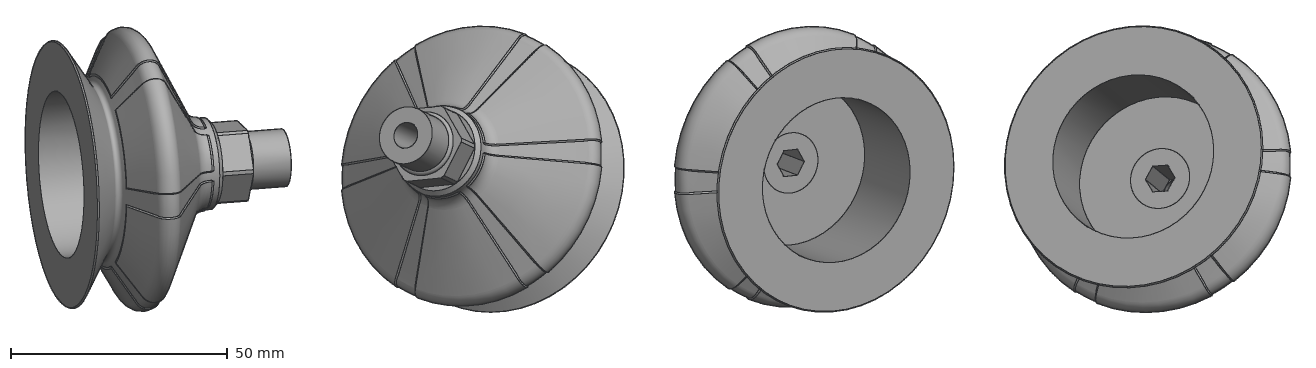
import cadquery as cq
import math


BULGE_OUTER_RADIUS = 32.85
BULGE_RADIUS = 3.2
BULGE_Y = 17.1
UPPER_SLOPE = math.radians(28.3)
LOWER_SLOPE = math.radians(30.0)
NECK_FILLET = 3.75
COLLAR_RADIUS = 10.65
COLLAR_TOP = 36.0
COLLAR_CHAMFER = 1.05
GROOVE_RADIUS = 20.7
GROOVE_FILLET = 1.05
LIP_RADIUS = 31.0
LIP_EDGE_HEIGHT = 0.4
LIP_EDGE_TAPER = 0.25
BORE_RADIUS = 19.3
BORE_DEPTH = 22.15

PANEL_COUNT = 6
PANEL_RISE = 0.25
PANEL_PITCH = 360.0 / PANEL_COUNT
GAP_HALF_ANGLE = 4.7
PANEL_BOTTOM = 9.3
PANEL_TOP_TAPER = 0.5
PANEL_EDGE_WIDTH = 0.4
PANEL_EDGE_DEPTH = 0.3

INSERT_RADIUS = 7.1
SOCKET_ACROSS_FLATS = 6.1
HEX_ACROSS_FLATS = 16.95
HEX_CORNER_RADIUS = 9.5
HEX_TOP = 43.35
STUD_RADIUS = 6.7
STUD_TOP = 53.2
AIR_HOLE_RADIUS = 3.0
RING_RADIUS = 7.5

TOLERANCE = 0.0005

NECK_RADIUS = COLLAR_RADIUS + PANEL_RISE
BULGE_CENTRE = (BULGE_OUTER_RADIUS - BULGE_RADIUS, BULGE_Y)
UPPER_NORMAL = (math.sin(UPPER_SLOPE), math.cos(UPPER_SLOPE))
LOWER_NORMAL = (math.sin(LOWER_SLOPE), -math.cos(LOWER_SLOPE))
INWARD = (-1.0, 0.0)
OUTWARD = (1.0, 0.0)
UPWARD = (0.0, 1.0)


def shifted(point, direction, distance):
    """Point moved by a distance along a unit direction."""
    return (point[0] + distance * direction[0], point[1] + distance * direction[1])


def unit_between(first, second):
    """Unit direction halfway between two unit directions."""
    total = (first[0] + second[0], first[1] + second[1])
    length = math.hypot(*total)
    return (total[0] / length, total[1] / length)


def opposite(direction):
    """Direction turned end for end."""
    return (-direction[0], -direction[1])


def height_beside_cone(radius, normal, distance):
    """Y of the point at a radius whose distance from the bulge centre along normal is given."""
    return BULGE_Y + (distance - (radius - BULGE_CENTRE[0]) * normal[0]) / normal[1]


def lower_cone_radius(height):
    """Radius of the panels' lower cone at a height along Y."""
    return BULGE_CENTRE[0] + (BULGE_RADIUS - (height - BULGE_Y) * LOWER_NORMAL[1]) / LOWER_NORMAL[0]


NECK_CENTRE_RADIUS = NECK_RADIUS + NECK_FILLET
NECK_CENTRE = (
    NECK_CENTRE_RADIUS,
    height_beside_cone(NECK_CENTRE_RADIUS, UPPER_NORMAL, BULGE_RADIUS + NECK_FILLET),
)
GROOVE_CENTRE_RADIUS = GROOVE_RADIUS + GROOVE_FILLET
GROOVE_CENTRE = (
    GROOVE_CENTRE_RADIUS,
    height_beside_cone(GROOVE_CENTRE_RADIUS, LOWER_NORMAL, BULGE_RADIUS - PANEL_RISE + GROOVE_FILLET),
)

LIP_RUN = GROOVE_CENTRE[0] - LIP_RADIUS
LIP_RISE = GROOVE_CENTRE[1] - LIP_EDGE_HEIGHT
LIP_ANGLE = math.atan2(LIP_RISE, LIP_RUN) - math.acos(GROOVE_FILLET / math.hypot(LIP_RUN, LIP_RISE))
LIP_NORMAL = (math.cos(LIP_ANGLE), math.sin(LIP_ANGLE))


def add_bellows(outline, inset):
    """Continue an outline from the neck, over the upper cone, to the lower end of the bulge."""
    neck_fillet = NECK_FILLET + inset
    bulge = BULGE_RADIUS - inset
    down_cone = opposite(UPPER_NORMAL)
    return (
        outline.lineTo(NECK_RADIUS - inset, NECK_CENTRE[1])
        .threePointArc(
            shifted(NECK_CENTRE, unit_between(INWARD, down_cone), neck_fillet),
            shifted(NECK_CENTRE, down_cone, neck_fillet),
        )
        .lineTo(*shifted(BULGE_CENTRE, UPPER_NORMAL, bulge))
        .threePointArc(
            shifted(BULGE_CENTRE, unit_between(UPPER_NORMAL, LOWER_NORMAL), bulge),
            shifted(BULGE_CENTRE, LOWER_NORMAL, bulge),
        )
    )


def revolved(outline, angle=360.0):
    """Close an outline and turn it about the Y axis."""
    return outline.close().revolve(angle, (0, 0, 0), (0, 1, 0))


def turned(body, angle):
    """Body turned about the Y axis, in degrees."""
    return body.rotate((0, 0, 0), (0, 1, 0), angle)


def cylinder(radius, bottom, top):
    """Cylinder along Y."""
    return cq.Workplane("XZ", origin=(0, bottom, 0)).circle(radius).extrude(bottom - top)


def hexagon(across_flats, bottom, top):
    """Hexagonal prism along Y with flats facing +Z and -Z."""
    across_corners = across_flats / math.cos(math.pi / 6)
    return cq.Workplane("XZ", origin=(0, bottom, 0)).polygon(6, across_corners).extrude(bottom - top)


def make_plain_cup():
    """Solid cup without panels and without its inner openings."""
    down_lip = opposite(LIP_NORMAL)
    up_cone = opposite(LOWER_NORMAL)
    outline = (
        cq.Workplane("XY")
        .moveTo(0, 0)
        .lineTo(0, COLLAR_TOP)
        .lineTo(COLLAR_RADIUS - COLLAR_CHAMFER, COLLAR_TOP)
        .lineTo(COLLAR_RADIUS, COLLAR_TOP - COLLAR_CHAMFER)
    )
    outline = (
        add_bellows(outline, PANEL_RISE)
        .lineTo(*shifted(GROOVE_CENTRE, up_cone, GROOVE_FILLET))
        .threePointArc(
            shifted(GROOVE_CENTRE, INWARD, GROOVE_FILLET),
            shifted(GROOVE_CENTRE, down_lip, GROOVE_FILLET),
        )
        .lineTo(LIP_RADIUS, LIP_EDGE_HEIGHT)
        .lineTo(LIP_RADIUS - LIP_EDGE_TAPER, 0)
    )
    return revolved(outline)


def is_panel_rim(edge):
    """True for the outer edges of the two side walls: these run along the panel, away from its root."""
    start = edge.startPoint()
    end = edge.endPoint()
    along_panel = abs(start.x * end.z - start.z * end.x) < TOLERANCE
    nearest = min(math.hypot(point.x, point.z) for point in (start, end))
    return along_panel and nearest > INSERT_RADIUS + TOLERANCE


def make_panel():
    """One raised panel with sloping sides, rooted inside the cup and centred on +Z."""
    top = NECK_CENTRE[1] + 2 * PANEL_TOP_TAPER
    outline = (
        cq.Workplane("XY")
        .moveTo(INSERT_RADIUS, PANEL_BOTTOM)
        .lineTo(INSERT_RADIUS, top)
        .lineTo(NECK_RADIUS - 2 * PANEL_RISE, top)
    )
    foot_radius = lower_cone_radius(PANEL_BOTTOM)
    span = PANEL_PITCH - 2 * GAP_HALF_ANGLE
    panel = revolved(add_bellows(outline, 0).lineTo(foot_radius, PANEL_BOTTOM), span)
    rim = panel.edges().filter(is_panel_rim)
    return turned(rim.chamfer(PANEL_EDGE_WIDTH, PANEL_EDGE_DEPTH), -90 - span / 2)


def make_cup():
    """Bellows cup with its panels, the suction bore and the hole for the insert."""
    cup = make_plain_cup()
    panel = make_panel()
    for index in range(PANEL_COUNT):
        cup = cup.union(turned(panel, index * PANEL_PITCH))
    cup = cup.cut(cylinder(BORE_RADIUS, 0, BORE_DEPTH))
    return cup.cut(cylinder(INSERT_RADIUS, BORE_DEPTH, COLLAR_TOP))


def make_insert():
    """Round core of the cup with a hexagon socket right through it."""
    core = cylinder(INSERT_RADIUS, BORE_DEPTH, COLLAR_TOP)
    return core.cut(hexagon(SOCKET_ACROSS_FLATS, BORE_DEPTH, COLLAR_TOP))


def make_fitting():
    """Hexagon with rounded corners and a hollow stud."""
    wrench_hex = hexagon(HEX_ACROSS_FLATS, COLLAR_TOP, HEX_TOP)
    wrench_hex = wrench_hex.intersect(cylinder(HEX_CORNER_RADIUS, COLLAR_TOP, HEX_TOP))
    fitting = wrench_hex.union(cylinder(STUD_RADIUS, HEX_TOP, STUD_TOP))
    return fitting.cut(cylinder(AIR_HOLE_RADIUS, COLLAR_TOP, STUD_TOP))


def make_seal_ring():
    """Quarter-round ring in the corner between the stud and the hexagon."""
    thickness = RING_RADIUS - STUD_RADIUS
    foot = (STUD_RADIUS, HEX_TOP)
    outline = (
        cq.Workplane("XY")
        .moveTo(*foot)
        .lineTo(*shifted(foot, OUTWARD, thickness))
        .threePointArc(
            shifted(foot, unit_between(OUTWARD, UPWARD), thickness),
            shifted(foot, UPWARD, thickness),
        )
    )
    return revolved(outline)


cup = make_cup()
insert = make_insert()
fitting = make_fitting()
seal_ring = make_seal_ring()

result = cq.Compound.makeCompound([cup.val(), insert.val(), fitting.val(), seal_ring.val()])